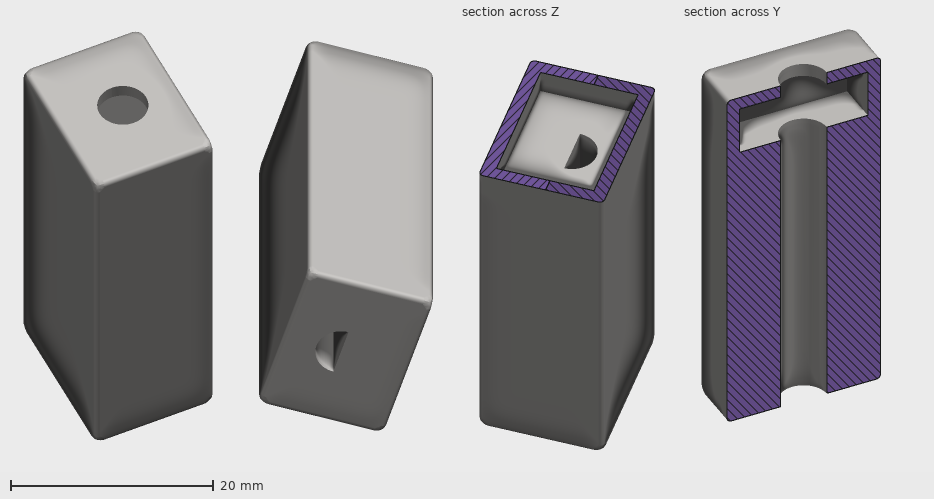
import cadquery as cq
import math

WIDTH = 17.0
DEPTH = 13.0
LENGTH = 39.0
EDGE_RADIUS = 0.5
CORNER_INSET = 0.3
CORNER_REACH = 2 * EDGE_RADIUS

BACK_DEPTH = 5.95
FRONT_DEPTH = DEPTH - BACK_DEPTH

WALL = 1.45
CHAMBER_FLOOR_DEPTH = 6.63
CHAMBER_HEIGHT = CHAMBER_FLOOR_DEPTH - WALL

OPENING_RADIUS = 2.55


def upright_block(width, y_start, y_end, z_start, z_end):
    """Block centred on X, between the given Y and Z limits."""
    depth = y_end - y_start
    height = z_end - z_start
    return cq.Workplane("XY").box(width, depth, height, centered=(True, False, False)).translate(
        (0, y_start, z_start)
    )


def turned(turn, x, y, z):
    """Point with its coordinates moved round by one axis per turn."""
    point = (x, y, z)
    return cq.Vector(*(point[(axis - turn) % 3] for axis in range(3)))


def outline_edges(points):
    """Straight edges joining the points in order."""
    return [cq.Edge.makeLine(start, end) for start, end in zip(points, points[1:])]


def flat_face(edges):
    """Planar face inside a closed ring of edges."""
    return cq.Face.makeFromWires(cq.Wire.assembleEdges(edges))


def rounded_end_point(turn, degrees):
    """Point where a rounded edge stops at the corner blend, by its angle round that edge."""
    angle = math.radians(degrees)
    first_inset = EDGE_RADIUS * (1 - math.sin(angle))
    second_inset = EDGE_RADIUS * (1 - math.cos(angle))
    return turned(turn, CORNER_REACH, first_inset, second_inset)


def corner_plug():
    """Blended corner of the case, with the unrounded corner at the origin and the case in +X, +Y, +Z.

    Each pass of the first loop makes one outer face, cut off at 45 degrees, and the inner face at
    the end of one rounded edge. Six curved patches between them meet in the middle of the blend.
    """
    blend_centre = cq.Vector(CORNER_INSET, CORNER_INSET, CORNER_INSET)
    cut_middle = (CORNER_REACH + EDGE_RADIUS) / 2
    faces = []
    cut_halves = []
    arc_halves = []
    cut_spokes = []
    arc_spokes = []

    for turn in range(3):
        start, quarter, half, three_quarter, end = (
            rounded_end_point(turn, step * 90 / 4) for step in range(5)
        )
        middle = turned(turn, cut_middle, cut_middle, 0)
        cut_end = turned(turn, EDGE_RADIUS, CORNER_REACH, 0)
        face_inner = turned(turn, CORNER_REACH, CORNER_REACH, 0)
        side_inner = turned(turn, CORNER_REACH, 0, CORNER_REACH)
        innermost = turned(turn, CORNER_REACH, CORNER_REACH, CORNER_REACH)

        cut = outline_edges([start, middle, cut_end])
        arc = [
            cq.Edge.makeThreePointArc(start, quarter, half),
            cq.Edge.makeThreePointArc(half, three_quarter, end),
        ]
        faces.append(flat_face(cut + outline_edges([cut_end, face_inner, start])))
        faces.append(flat_face(arc + outline_edges([end, side_inner, innermost, face_inner, start])))

        cut_halves.append(cut)
        arc_halves.append(arc)
        cut_spokes.append(cq.Edge.makeTangentArc(middle, turned(turn, -1, -1, 0), blend_centre))
        arc_spokes.append(cq.Edge.makeTangentArc(half, turned(turn, -1, 0, 0), blend_centre))

    for turn in range(3):
        following = (turn + 1) % 3
        near_patch = [cut_halves[turn][0], cut_spokes[turn], arc_spokes[turn], arc_halves[turn][0]]
        far_patch = [cut_halves[turn][1], arc_halves[following][1], arc_spokes[following], cut_spokes[turn]]
        for patch in (near_patch, far_patch):
            faces.append(cq.Face.makeNSidedSurface(patch, []))
    return cq.Workplane(cq.Solid.makeSolid(cq.Shell.makeShell(faces)))


def mirrored_to_corners(piece, y_outer):
    """Copies of a corner piece at the four corners of the case on the face at y_outer."""
    if y_outer > 0:
        piece = piece.mirror("XZ")
    pieces = [piece.translate((-WIDTH / 2, y_outer, 0))]
    for mirror_plane in ("YZ", "XY"):
        pieces += [copy.mirror(mirror_plane, (0, 0, LENGTH / 2)) for copy in pieces]
    return pieces


def rounded_half(y_outer):
    """Solid half of the case between the joint plane and y_outer, with blended outer corners."""
    case = upright_block(WIDTH, -FRONT_DEPTH, BACK_DEPTH, 0, LENGTH).edges().fillet(EDGE_RADIUS)
    half = case.intersect(upright_block(WIDTH, min(y_outer, 0), max(y_outer, 0), 0, LENGTH))
    socket = cq.Workplane("XY").box(CORNER_REACH, CORNER_REACH, CORNER_REACH, centered=False)
    for corner_socket in mirrored_to_corners(socket, y_outer):
        half = half.cut(corner_socket)
    for plug in mirrored_to_corners(corner_plug(), y_outer):
        half = half.union(plug)
    return half


def chamber():
    """Box-shaped hollow below the top wall, with equal walls all round."""
    floor = LENGTH - CHAMBER_FLOOR_DEPTH
    return upright_block(
        WIDTH - 2 * WALL, WALL - FRONT_DEPTH, BACK_DEPTH - WALL, floor, floor + CHAMBER_HEIGHT
    )


def round_passage(z_start, z_end):
    """Cylinder on the Z axis with the radius of the opening."""
    return cq.Workplane("XY", origin=(0, 0, z_start)).circle(OPENING_RADIUS).extrude(z_end - z_start)


def front_half():
    """Half on the -Y side: chamber and half opening in the top, solid below."""
    top_opening = round_passage(LENGTH - WALL, LENGTH)
    return rounded_half(-FRONT_DEPTH).cut(chamber()).cut(top_opening).solids()


def back_half():
    """Half on the +Y side: chamber and a half-round channel from top to bottom."""
    channel = round_passage(0, LENGTH)
    return rounded_half(BACK_DEPTH).cut(chamber()).cut(channel).solids()


front = front_half()
back = back_half()

result = cq.Compound.makeCompound([front.val(), back.val()])